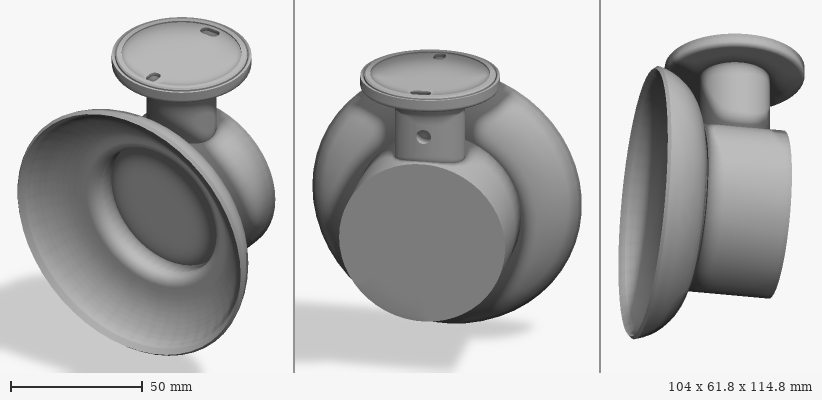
import cadquery as cq
import math


barrel_radius = 32.0
barrel_end = 16.1
cap_thickness = 1.25
cap_seat = barrel_end - cap_thickness

shade_radius = 52.0
shade_front = -35.29
shade_back = -16.85
rim_chamfer = 1.2
rim_chamfer_radial = 1.0
rim_edge = shade_front + rim_chamfer
rim_inner_radius = 49.5
rim_inner_depth = 2.2
neck_radius = 30.0
bore_radius = 27.0
bore_round = 4.0
bowl_floor = -19.1
neck_end = -7.5

tube_radius = 13.3
screw_hole_radius = 2.85
screw_hole_height = 42.0
screw_hole_depth = 5.0

plate_radius = 26.5
plate_bottom = 57.0
plate_rim_top = 62.05
plate_round = 1.6
plate_rim_round = 0.9

bracket_radius = 25.0
bracket_top = 62.83
bracket_chamfer = 0.5
bracket_recess_radius = 22.7
bracket_recess_depth = 0.6
bracket_web_thickness = 1.5
bracket_web_top = bracket_top - bracket_recess_depth
bracket_bottom = bracket_web_top - bracket_web_thickness
slot_width = 4.5
slot_offset = 19.1
cross_slot_length = 8.0
radial_slot_length = 6.6


def cylinder_along_y(radius, y_start, y_end):
    """Solid cylinder on the Y axis between two Y positions."""
    plane = cq.Workplane("XZ", origin=(0, y_start, 0))
    return plane.circle(radius).extrude(y_start - y_end)


def disc_at(radius, z_bottom, z_top):
    """Solid disc on the tube axis between two heights."""
    return cq.Workplane("XY", origin=(0, 0, z_bottom)).circle(radius).extrude(z_top - z_bottom)


def dome_middle(crown, rim):
    """Middle point of the arc that starts level at the crown and curves down to the rim."""
    run = rim[0] - crown[0]
    rise = crown[1] - rim[1]
    radius = (run ** 2 + rise ** 2) / (2 * rise)
    half_angle = math.atan2(run, radius - rise) / 2
    return (crown[0] + radius * math.sin(half_angle), crown[1] - radius * (1 - math.cos(half_angle)))


def make_barrel():
    barrel = cylinder_along_y(barrel_radius, -cap_seat, cap_seat)
    return barrel.cut(cylinder_along_y(neck_radius, -cap_seat, neck_end))


def make_front_cap():
    ring = cylinder_along_y(barrel_radius, -barrel_end, -cap_seat)
    return ring.cut(cylinder_along_y(neck_radius, -barrel_end, -cap_seat))


def make_rear_cap():
    return cylinder_along_y(barrel_radius, cap_seat, barrel_end)


def make_shade():
    outer_start = (neck_radius, shade_back)
    outer_end = (shade_radius, rim_edge)
    floor_start = (bore_radius + bore_round, bowl_floor)
    floor_end = (rim_inner_radius, shade_front + rim_inner_depth)
    round_offset = bore_round * (1 - math.sqrt(0.5))
    profile = (
        cq.Workplane("XY")
        .moveTo(bore_radius, neck_end)
        .lineTo(neck_radius, neck_end)
        .lineTo(*outer_start)
        .threePointArc(dome_middle(outer_start, outer_end), outer_end)
        .lineTo(shade_radius - rim_chamfer_radial, shade_front)
        .lineTo(*floor_end)
        .threePointArc(dome_middle(floor_start, floor_end), floor_start)
        .threePointArc(
            (bore_radius + round_offset, bowl_floor + round_offset),
            (bore_radius, bowl_floor + bore_round),
        )
        .close()
    )
    return profile.revolve(360, (0, 0, 0), (0, 1, 0))


def make_tube():
    tube = disc_at(tube_radius, 0, plate_bottom)
    tube = tube.cut(cylinder_along_y(barrel_radius, -barrel_end, barrel_end))
    hole = cylinder_along_y(screw_hole_radius, tube_radius - screw_hole_depth, tube_radius)
    return tube.cut(hole.translate((0, 0, screw_hole_height)))


def make_plate():
    plate = disc_at(plate_radius, plate_bottom, plate_rim_top).faces("<Z").edges().fillet(plate_round)
    recess = disc_at(bracket_radius, bracket_bottom, plate_rim_top)
    inner_edge = cq.selectors.RadiusNthSelector(0)
    return plate.cut(recess).faces(">Z").edges(inner_edge).fillet(plate_rim_round)


def make_slot(y_center, length, angle):
    """Cutter for a rounded slot through the bracket web, its length turned by angle from X."""
    web = cq.Workplane("XY", origin=(0, y_center, bracket_bottom))
    return web.slot2D(length, slot_width, angle).extrude(bracket_web_thickness)


def make_bracket():
    bracket = disc_at(bracket_radius, bracket_bottom, bracket_top).faces(">Z").edges().chamfer(bracket_chamfer)
    bracket = bracket.cut(disc_at(bracket_recess_radius, bracket_web_top, bracket_top))
    cross_slot = make_slot(slot_offset, cross_slot_length, 0)
    radial_slot = make_slot(-slot_offset, radial_slot_length, 90)
    return bracket.cut(cross_slot).cut(radial_slot)


barrel = make_barrel()
front_cap = make_front_cap()
rear_cap = make_rear_cap()
shade = make_shade()
tube = make_tube()
wall_plate = make_plate()
bracket = make_bracket()

result = cq.Compound.makeCompound([
    barrel.solids().val(),
    front_cap.solids().val(),
    rear_cap.solids().val(),
    shade.solids().val(),
    tube.solids().val(),
    wall_plate.solids().val(),
    bracket.solids().val(),
])